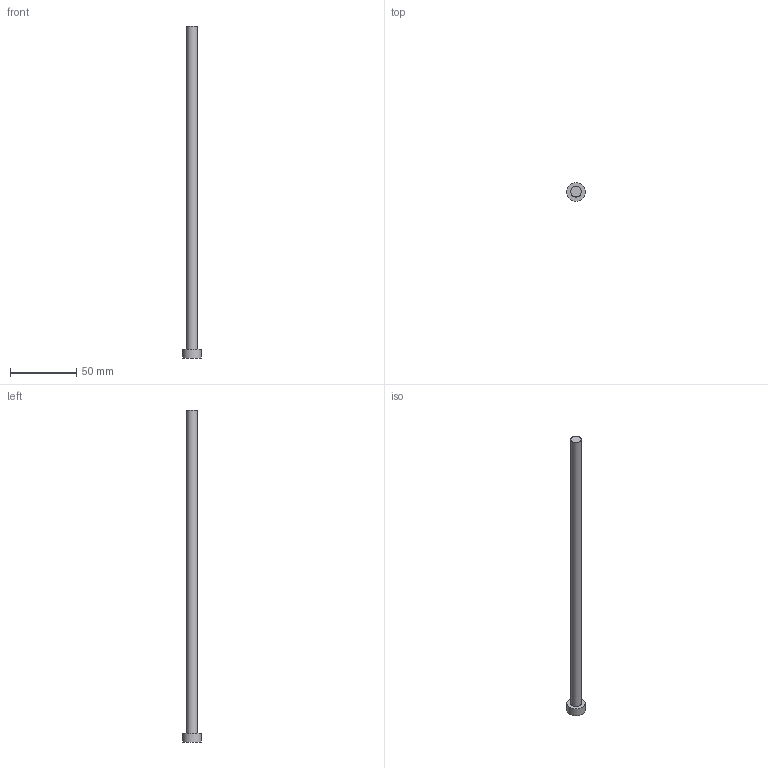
import cadquery as cq

total_length = 250.0
head_diameter = 14.0
head_height = 6.5
shank_diameter = 8.0


def make_head():
    """Cylindrical head, standing on the XY plane."""
    return cq.Workplane("XY").circle(head_diameter / 2).extrude(head_height)


def make_shank():
    """Round shank, running from the base of the head to the tip."""
    return cq.Workplane("XY").circle(shank_diameter / 2).extrude(total_length)


result = make_head().union(make_shank())